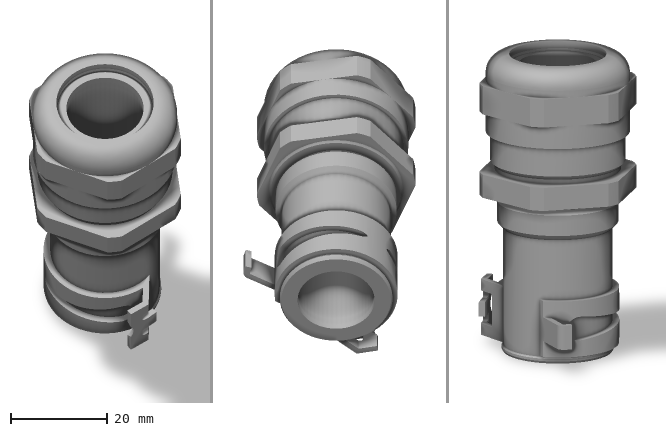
import cadquery as cq
import math

across_flats = 30.0
across_corners = 33.0

bore_radius = 8.0
sleeve_radius = 11.35
lip_radius = 11.7
lip_edge_height = 0.5
lip_shoulder_height = 0.3
lip_height = 1.35
collar_radius = 12.6
collar_bottom = 26.5
collar_cone_height = 1.2
collar_top = 32.05
neck_radius = 11.55
neck_bottom = 33.0
flange_radius = 14.0
flange_height = 0.4
flange_taper = 0.45
body_hex_bottom = 34.05
body_hex_height = 4.95
undercut_radius = 13.15
undercut_top = 39.95
shoulder_radius = 14.05

nut_bottom = 47.0
nut_top = 63.5
nut_radius = 15.0
dome_radius = 4.0
nut_hex_bottom = 51.95
nut_hex_height = 6.05
mouth_radius = 10.1
mouth_depth = 1.45
mouth_taper_height = 0.45
thread_radius = 12.45
thread_top = 58.0
stem_tip_radius = 9.9
stem_tip_chamfer = 0.45
stem_top = 61.6

sheet = 1.3
clip_radius = 12.75
clip_bottom = 1.65
clip_height = 12.0
clip_middle = clip_bottom + clip_height / 2
mirror_angle = 22.8

pull_root_angle = -12.8
pull_leg_length = 7.75
pull_leg_heading = -68.2
plate_length = 4.5
plate_heading = -121.5
window_height = 7.05
window_start = 3.8
relief_depth = 1.6
relief_corner = 0.65
tongue_height = 3.05
tongue_length = 2.2
tongue_heading = 64.4

hook_root_angle = 55.7
hook_leg_length = 9.8
hook_leg_heading = 100.0
hook_tip_length = 2.7
hook_tip_heading = 175.0
hook_outer_bend_radius = 1.6
hook_inner_bend_radius = 0.3
hook_height = 5.15

slot_facing = -69.0
slot_narrow_center = -11.5
slot_narrow_radius = 0.9
slot_wide_center = 4.0
slot_wide_radius = 2.55


def polar(radius, angle):
    """Point at a radius and an angle in degrees."""
    return cq.Vector(radius * math.cos(math.radians(angle)), radius * math.sin(math.radians(angle)))


def plan_points(vectors):
    return [(v.x, v.y) for v in vectors]


def cylinder(radius, bottom, height):
    return cq.Workplane("XY").workplane(offset=bottom).circle(radius).extrude(height)


def turn(profile):
    """Solid of revolution around Z from (radius, height) points."""
    return cq.Workplane("XZ").polyline(profile).close().revolve(360, (0, 0), (0, 1))


def hexagon(bottom, height):
    """Hexagonal prism with two flats facing +Y and -Y and its corners turned round."""
    corner_distance = across_flats / math.cos(math.radians(30))
    prism = cq.Workplane("XY").workplane(offset=bottom).polygon(6, corner_distance).extrude(height)
    return prism.intersect(cylinder(across_corners / 2, bottom, height))


def gland_body():
    """Turned sleeve with a wrench hexagon and the stem that enters the nut."""
    profile = [
        (bore_radius, 0),
        (sleeve_radius, 0),
        (lip_radius, lip_edge_height),
        (lip_radius, lip_height - lip_shoulder_height),
        (sleeve_radius, lip_height),
        (sleeve_radius, collar_bottom),
        (collar_radius, collar_bottom + collar_cone_height),
        (collar_radius, collar_top),
        (neck_radius, neck_bottom),
        (neck_radius, body_hex_bottom - flange_height),
        (flange_radius - flange_taper, body_hex_bottom - flange_height),
        (flange_radius, body_hex_bottom),
        (undercut_radius, body_hex_bottom),
        (undercut_radius, undercut_top),
        (shoulder_radius, undercut_top + shoulder_radius - undercut_radius),
        (shoulder_radius, nut_bottom),
        (thread_radius, nut_bottom),
        (thread_radius, thread_top),
        (stem_tip_radius, thread_top),
        (stem_tip_radius, stem_top - stem_tip_chamfer),
        (stem_tip_radius - stem_tip_chamfer, stem_top),
        (bore_radius, stem_top),
    ]
    wrench_hex = hexagon(body_hex_bottom, body_hex_height).cut(
        cylinder(bore_radius, body_hex_bottom, body_hex_height)
    )
    return turn(profile).union(wrench_hex)


def cap_nut():
    """Domed nut with a wrench hexagon, hollowed to fit the stem of the body."""
    dome = cylinder(nut_radius, nut_bottom, nut_top - nut_bottom).faces(">Z").edges().fillet(dome_radius)
    nut = dome.union(hexagon(nut_hex_bottom, nut_hex_height))
    mouth_bottom = nut_top - mouth_depth
    cavity = [
        (0, nut_bottom),
        (thread_radius, nut_bottom),
        (thread_radius, thread_top),
        (stem_tip_radius, thread_top),
        (stem_tip_radius, mouth_bottom - mouth_taper_height),
        (mouth_radius, mouth_bottom),
        (mouth_radius, nut_top),
        (0, nut_top),
    ]
    return nut.cut(turn(cavity))


def bent_strip(start, bend, end, side, height):
    """Sheet strip whose outer face runs start-bend-end, thickened to the left (side 1) or right (-1)."""
    first_normal = (bend - start).normalized().cross(cq.Vector(0, 0, -side))
    second_normal = (end - bend).normalized().cross(cq.Vector(0, 0, -side))
    miter = (first_normal + second_normal) / (1 + first_normal.dot(second_normal))
    outline = [
        start,
        bend,
        end,
        end + second_normal * sheet,
        bend + miter * sheet,
        start + first_normal * sheet,
    ]
    plane = cq.Workplane("XY").workplane(offset=clip_middle - height / 2)
    return plane.polyline(plan_points(outline)).close().extrude(height)


def sheet_frame(origin, heading):
    """Plane lying in a vertical sheet face: local X runs along the heading, local Y is up."""
    return cq.Workplane(
        cq.Plane(
            origin=(origin.x, origin.y, clip_middle),
            xDir=polar(1, heading).toTuple(),
            normal=polar(1, heading - 90).toTuple(),
        )
    )


pull_root = polar(sleeve_radius, pull_root_angle)
pull_bend = pull_root + polar(pull_leg_length, pull_leg_heading)
plate_end = pull_bend + polar(plate_length, plate_heading)
hook_root = polar(sleeve_radius, hook_root_angle)
hook_bend = hook_root + polar(hook_leg_length, hook_leg_heading)
hook_tip = hook_bend + polar(hook_tip_length, hook_tip_heading)


def open_ring():
    """Ring with the sector between the two bent ends removed."""
    far_x = 2 * clip_radius
    gap = [
        pull_root,
        pull_bend,
        cq.Vector(far_x, pull_bend.y),
        cq.Vector(far_x, hook_bend.y),
        hook_bend,
        hook_root,
    ]
    opening = cq.Workplane("XY").workplane(offset=clip_bottom).polyline(plan_points(gap)).close()
    return cylinder(clip_radius, clip_bottom, clip_height).cut(opening.extrude(clip_height))


def pull_end():
    """Bent plate with a window in its leg and a tongue standing up beside the window."""
    plate = bent_strip(pull_root, pull_bend, plate_end, -1, clip_height)
    window_length = pull_leg_length - window_start
    window = (
        sheet_frame(pull_root, pull_leg_heading)
        .center(window_start + window_length / 2, 0)
        .rect(window_length, window_height)
        .extrude(2 * sheet, both=True)
    )
    plate = plate.cut(window)
    across_sheet = cq.selectors.ParallelDirSelector(polar(1, plate_heading - 90))
    relief_height = (window_height - tongue_height) / 2
    for side in (-1, 1):
        relief = (
            sheet_frame(pull_bend, plate_heading)
            .center(0, side * (tongue_height + relief_height) / 2)
            .rect(2 * relief_depth, relief_height)
            .extrude(2 * sheet, both=True)
        )
        plate = plate.cut(relief.edges(across_sheet).fillet(relief_corner))
    tongue_end = pull_bend + polar(tongue_length, tongue_heading)
    tongue = bent_strip(tongue_end, pull_bend, plate_end, -1, tongue_height)
    return plate.union(tongue)


def fillet_upright_edge(strip, place, radius):
    """Round the vertical edge of a strip that lies nearest to a point."""
    nearest = cq.selectors.NearestToPointSelector((place.x, place.y, clip_middle))
    return strip.edges("|Z").edges(nearest).fillet(radius)


def hook_end():
    """Narrow strip that stands out from the ring and turns back over it."""
    hook = bent_strip(hook_root, hook_bend, hook_tip, 1, hook_height)
    inward_heading = (hook_leg_heading + 180 + hook_tip_heading) / 2
    half_turn = math.radians(hook_tip_heading - hook_leg_heading) / 2
    inner_bend = hook_bend + polar(sheet / math.cos(half_turn), inward_heading)
    hook = fillet_upright_edge(hook, hook_bend, hook_outer_bend_radius)
    return fillet_upright_edge(hook, inner_bend, hook_inner_bend_radius)


def tapered_slot():
    """Slot cutter running straight out from the axis: two round ends joined by their tangents."""
    slope = (slot_wide_radius - slot_narrow_radius) / (slot_wide_center - slot_narrow_center)
    upright = math.sqrt(1 - slope**2)
    narrow_x = slot_narrow_center - slot_narrow_radius * slope
    narrow_y = slot_narrow_radius * upright
    wide_x = slot_wide_center - slot_wide_radius * slope
    wide_y = slot_wide_radius * upright
    return (
        sheet_frame(cq.Vector(0, 0), slot_facing + 90)
        .moveTo(narrow_x, -narrow_y)
        .lineTo(wide_x, -wide_y)
        .threePointArc((slot_wide_center + slot_wide_radius, 0), (wide_x, wide_y))
        .lineTo(narrow_x, narrow_y)
        .threePointArc((slot_narrow_center - slot_narrow_radius, 0), (narrow_x, -narrow_y))
        .close()
        .extrude(2 * clip_radius)
    )


def spring_clip():
    """Open ring on the sleeve with its pull tab, hook and two mirrored slots."""
    clip = open_ring().union(pull_end()).union(hook_end())
    slot = tapered_slot()
    straight_slot = slot.rotate((0, 0, 0), (0, 0, 1), -mirror_angle)
    mirrored_slot = straight_slot.mirror("XZ").rotate((0, 0, 0), (0, 0, 1), mirror_angle)
    clip = clip.cut(slot).cut(mirrored_slot)
    return clip.cut(cylinder(sleeve_radius, clip_bottom, clip_height))


body = gland_body()
nut = cap_nut()
clip = spring_clip()

result = cq.Compound.makeCompound([body.val(), nut.val(), clip.val()])